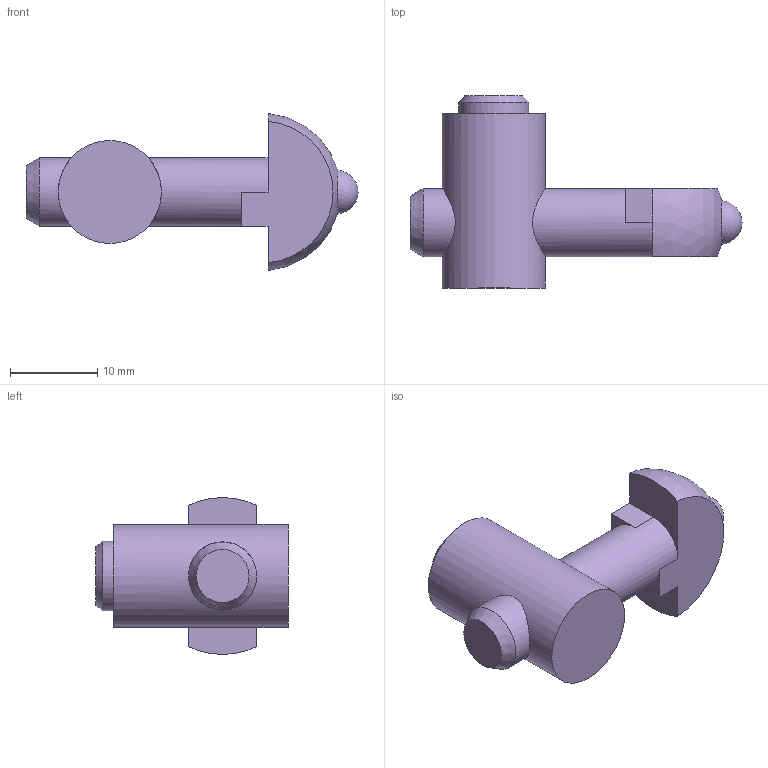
import cadquery as cq
import math

barrel_diameter = 11.8
barrel_front_y = -7.5
barrel_length = 20.0
barrel_back_y = barrel_front_y + barrel_length

spigot_diameter = 8.0
spigot_tip_diameter = 6.65
spigot_length = 2.0
spigot_end_y = barrel_back_y + spigot_length
spigot_taper_length = 0.8

shank_diameter = 7.8
shank_radius = shank_diameter / 2
shank_tail_x = -9.6
tail_taper_length = 1.5
tail_taper_angle = 30.0
overall_length = 38.0

head_sphere_radius = 9.0
head_height = 17.95
head_face_x = 18.1
head_face_offset = math.sqrt(head_sphere_radius**2 - (head_height / 2) ** 2)
head_center_x = head_face_x - head_face_offset

nose_radius = 2.5
nose_tip_x = shank_tail_x + overall_length
nose_center_x = nose_tip_x - nose_radius

nose_center_distance = nose_center_x - head_center_x
nose_root_offset = (
    nose_center_distance**2 + head_sphere_radius**2 - nose_radius**2
) / (2 * nose_center_distance)
nose_root_x = head_center_x + nose_root_offset
nose_root_radius = math.sqrt(head_sphere_radius**2 - nose_root_offset**2)

shoulder_length = 3.0


def point_on_arc(center_x, radius, angle):
    """Point on a circle centred on the X axis, at an angle in radians from +X."""
    return (center_x + radius * math.cos(angle), radius * math.sin(angle))


def make_barrel():
    """Barrel and its tapered spigot, turned about the Y axis."""
    barrel_radius = barrel_diameter / 2
    spigot_radius = spigot_diameter / 2
    profile = [
        (0, barrel_front_y),
        (barrel_radius, barrel_front_y),
        (barrel_radius, barrel_back_y),
        (spigot_radius, barrel_back_y),
        (spigot_radius, spigot_end_y - spigot_taper_length),
        (spigot_tip_diameter / 2, spigot_end_y),
        (0, spigot_end_y),
    ]
    return cq.Workplane("XY").polyline(profile).close().revolve(360, (0, 0, 0), (0, 1, 0))


def make_shank():
    """Shank with a tapered tail, turned about the X axis."""
    tip_radius = shank_radius - tail_taper_length * math.tan(math.radians(tail_taper_angle))
    profile = [
        (shank_tail_x, 0),
        (shank_tail_x, tip_radius),
        (shank_tail_x + tail_taper_length, shank_radius),
        (head_face_x, shank_radius),
        (head_face_x, 0),
    ]
    return cq.Workplane("XY").polyline(profile).close().revolve(360, (0, 0, 0), (1, 0, 0))


def make_head():
    """Dome and ball nose turned about the X axis, then cut to a slab as thick as the shank."""
    rim_angle = math.acos(head_face_offset / head_sphere_radius)
    dome_end_angle = math.acos(nose_root_offset / head_sphere_radius)
    dome_middle = point_on_arc(head_center_x, head_sphere_radius, (rim_angle + dome_end_angle) / 2)
    nose_root_angle = math.atan2(nose_root_radius, nose_root_x - nose_center_x)
    nose_middle = point_on_arc(nose_center_x, nose_radius, nose_root_angle / 2)
    turned = (
        cq.Workplane("XY")
        .moveTo(head_face_x, 0)
        .lineTo(head_face_x, head_height / 2)
        .threePointArc(dome_middle, (nose_root_x, nose_root_radius))
        .threePointArc(nose_middle, (nose_tip_x, 0))
        .close()
        .revolve(360, (0, 0, 0), (1, 0, 0))
    )
    slab_length = 2 * (nose_tip_x - head_face_x)
    slab = cq.Workplane("XY", origin=(head_face_x, 0, 0)).box(
        slab_length, shank_diameter, 2 * head_height
    )
    return turned.intersect(slab)


def make_shoulder(side):
    """Square shoulder in the quadrant where Y and Z both have the sign of side."""
    quadrant_center = side * shank_radius / 2
    return cq.Workplane(
        "XY", origin=(head_face_x - shoulder_length, quadrant_center, quadrant_center)
    ).box(shoulder_length, shank_radius, shank_radius, centered=(False, True, True))


body = make_shank().union(make_barrel()).union(make_head())
for side in (-1, 1):
    body = body.union(make_shoulder(side))

result = body